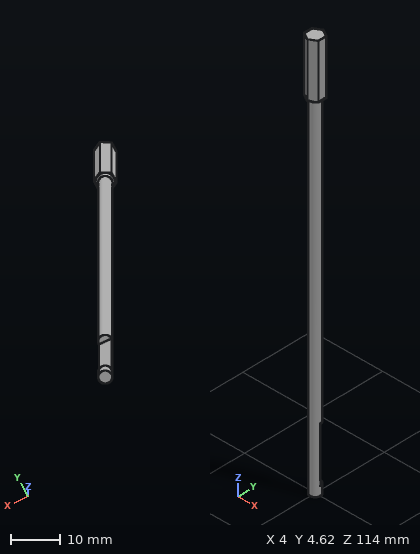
import cadquery as cq
import math

TOTAL_LENGTH = 114.0
HEX_SIDES = 6
HEX_ACROSS_FLATS = 4.0
HEX_LENGTH = 15.35
NECK_SIZE = 0.5
SHAFT_DIAMETER = 2.9
TIP_LENGTH = 2.5
NOTCH_LENGTH = 15.5

hex_across_corners = HEX_ACROSS_FLATS / math.cos(math.pi / HEX_SIDES)
hex_bottom = TOTAL_LENGTH - HEX_LENGTH
neck_bottom = hex_bottom - NECK_SIZE


def hex_shank():
    """Hexagonal drive end with corners on +Y and -Y."""
    return (
        cq.Workplane("XY")
        .workplane(offset=hex_bottom)
        .transformed(rotate=(0, 0, 90))
        .polygon(HEX_SIDES, hex_across_corners)
        .extrude(HEX_LENGTH)
    )


def round_shaft():
    """Plain round shaft that widens in a short 45-degree conical neck below the hexagon."""
    shaft_radius = SHAFT_DIAMETER / 2
    half_profile = [
        (0, 0),
        (shaft_radius, 0),
        (shaft_radius, neck_bottom),
        (shaft_radius + NECK_SIZE, hex_bottom),
        (0, hex_bottom),
    ]
    return cq.Workplane("XZ").polyline(half_profile).close().revolve(360, (0, 0), (0, 1))


def tip_notch():
    """Cutter for the +Y half of the shaft, leaving a hooked tip below it."""
    cutter_width = 2 * SHAFT_DIAMETER
    cutter_depth = SHAFT_DIAMETER
    return (
        cq.Workplane("XY")
        .workplane(offset=TIP_LENGTH)
        .center(0, cutter_depth / 2)
        .rect(cutter_width, cutter_depth)
        .extrude(NOTCH_LENGTH)
    )


result = hex_shank().union(round_shaft()).cut(tip_notch())